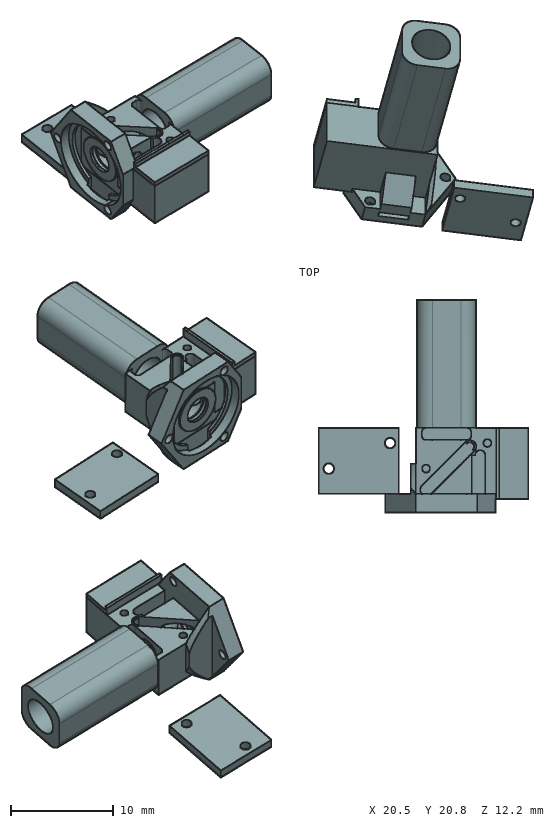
import cadquery as cq
import math


box_reach = 3.0
box_left = -box_reach
box_right = 8.0
box_bottom = -box_reach
box_top = 2.0
box_front = 1.33
box_back = 8.28
tube_width = 5.78
tube_corner_radius = 1.5
tube_end = 20.8
axis_bore_diameter = 2.77
lens_seat_diameter = 3.0
lens_seat_start = 1.41
lens_seat_end = 1.9
side_bore_diameter = 2.4
side_bore_y = 3.33
tube_bore_diameter = 3.8
boss_diameter = 4.8
boss_height = 0.2

slot_floor = -2.0
lens_slot_width = 4.8
lens_slot_length = 1.16
lens_slot_corner_radius = 0.37
mirror_slot_width = 1.23
mirror_slot_span = 6.0
mirror_slot_centre = (0.17, 4.35)
mirror_slot_angle = 45.0
mirror_ledge_depth = 0.1
mirror_relief_diameter = 0.83
filter_slot_left = 2.48
filter_slot_right = 3.79
filter_slot_back = 5.62
filter_relief_diameter = 1.0

flange_thickness = 1.83
hexagon_apothem = 5.2
hexagon_circumradius = hexagon_apothem / math.cos(math.pi / 6)
flange_right = 4.8
recess_diameter = 8.95
recess_depth = 1.0
seat_diameter = 7.85
channel_width = 3.0
channel_front = 0.8
bolt_circle_radius = 5.0
bolt_hole_diameter = 1.0
bolt_hole_count = 3
first_bolt_angle = 60.0
cone_end = 4.8
cone_end_radius = 3.6
cone_left = -3.5
rib_width = channel_width
rib_flat_end = 2.58

lid_thickness = 1.0
lid_width = 7.85
lid_drop = 9.0
lid_shift = 9.5
lid_hole_diameter = 1.0
screw_hole_diameter = 0.77
screw_hole_depth = 2.0
screw_positions = [(-2.0, 4.3), (4.0, 6.8)]
pad_left = 4.87
pad_thickness = 0.5
lip_width = 0.3


def block(x_range, y_range, z_range):
    """Axis-aligned block between the given limits."""
    lows, highs = zip(x_range, y_range, z_range)
    size = [high - low for low, high in zip(lows, highs)]
    return cq.Workplane("XY").box(*size, centered=False).translate(lows)


def rod(diameter, y_start, y_end):
    """Cylinder on the optical axis."""
    return cq.Workplane("XZ", origin=(0, y_start, 0)).circle(diameter / 2).extrude(y_start - y_end)


def lens_slot():
    """Round-cornered slot that drops from the box top in front of the tube."""
    return (
        block(
            (-lens_slot_width / 2, lens_slot_width / 2),
            (box_back - lens_slot_length, box_back),
            (slot_floor, box_top),
        )
        .edges("|Z")
        .fillet(lens_slot_corner_radius)
    )


def mirror_slot():
    """Diagonal slot with a shallow round far end and a narrower round relief below it."""
    centre_x, centre_y = mirror_slot_centre
    half_span = mirror_slot_span / 2
    depth = box_top - slot_floor
    near_end = cq.Workplane("XY").center(-half_span, 0).circle(mirror_slot_width / 2).extrude(-depth)
    middle = cq.Workplane("XY").rect(mirror_slot_span, mirror_slot_width).extrude(-depth)
    ledge = cq.Workplane("XY").center(half_span, 0).circle(mirror_slot_width / 2).extrude(-mirror_ledge_depth)
    relief = cq.Workplane("XY").center(half_span, 0).circle(mirror_relief_diameter / 2).extrude(-depth)
    slot = middle.union(near_end).union(ledge).union(relief)
    return slot.rotate((0, 0, 0), (0, 0, 1), mirror_slot_angle).translate((centre_x, centre_y, box_top))


def filter_slot():
    """Straight slot parallel to the axis, with a round relief in its far right corner."""
    slot = block(
        (filter_slot_left, filter_slot_right), (box_front, filter_slot_back), (slot_floor, box_top)
    )
    relief = (
        cq.Workplane("XY", origin=(0, 0, slot_floor))
        .center(filter_slot_right - filter_relief_diameter / 2, filter_slot_back)
        .circle(filter_relief_diameter / 2)
        .extrude(box_top - slot_floor)
    )
    return slot.union(relief)


def make_housing():
    """Optics box with the tube behind it and a round boss on its front."""
    box = block((box_left, box_right), (box_front, box_back), (box_bottom, box_top))
    box = box.cut(lens_slot()).cut(mirror_slot()).cut(filter_slot())
    screw_holes = (
        cq.Workplane("XY", origin=(0, 0, box_top))
        .pushPoints(screw_positions)
        .circle(screw_hole_diameter / 2)
        .extrude(-screw_hole_depth)
    )
    tube = (
        cq.Workplane("XZ", origin=(0, box_back, 0))
        .rect(tube_width, tube_width)
        .extrude(box_back - tube_end)
        .edges("|Y")
        .fillet(tube_corner_radius)
    )
    boss = rod(boss_diameter, box_front - boss_height, box_front)
    axis_bore = rod(axis_bore_diameter, 0, tube_end)
    lens_seat = rod(lens_seat_diameter, lens_seat_start, lens_seat_end)
    tube_bore = rod(tube_bore_diameter, box_back, tube_end)
    side_bore = (
        cq.Workplane("YZ").center(side_bore_y, 0).circle(side_bore_diameter / 2).extrude(filter_slot_right)
    )
    housing = box.cut(screw_holes).union(tube).union(boss)
    return housing.cut(axis_bore).cut(lens_seat).cut(tube_bore).cut(side_bore)


def hexagon_prism(length):
    """Hexagon with corners on the X axis, extruded back from Y = 0."""
    return cq.Workplane("XZ").polygon(6, 2 * hexagon_circumradius).extrude(-length)


def cone_shoulder():
    """Conical left shoulder behind the hexagon, flattened on its outer side."""
    cone = (
        cq.Workplane("XY")
        .moveTo(0, flange_thickness)
        .lineTo(hexagon_circumradius, flange_thickness)
        .lineTo(cone_end_radius, cone_end)
        .lineTo(0, cone_end)
        .close()
        .revolve(360, (0, 0, 0), (0, 1, 0))
    )
    side = block(
        (cone_left, box_left), (flange_thickness, cone_end), (-hexagon_apothem, hexagon_apothem)
    )
    return cone.intersect(side).intersect(hexagon_prism(cone_end))


def support_rib():
    """45 degree rib between the back of the flange and the underside of the box."""
    rib_rise = hexagon_apothem + box_bottom
    return (
        cq.Workplane("YZ", origin=(-rib_width / 2, 0, 0))
        .moveTo(flange_thickness, box_bottom)
        .lineTo(rib_flat_end + rib_rise, box_bottom)
        .lineTo(rib_flat_end, -hexagon_apothem)
        .lineTo(flange_thickness, -hexagon_apothem)
        .close()
        .extrude(rib_width)
    )


def make_flange(housing):
    """Hexagonal flange around the front of the housing, with a stepped recess and a channel down out of it."""
    hexagon = hexagon_prism(flange_thickness).intersect(
        block(
            (-hexagon_circumradius, flange_right),
            (0, flange_thickness),
            (-hexagon_apothem, hexagon_apothem),
        )
    )
    recess = rod(recess_diameter, 0, recess_depth)
    seat = rod(seat_diameter, recess_depth, box_front)
    channel = block(
        (-channel_width / 2, channel_width / 2), (channel_front, box_front), (-hexagon_apothem, box_bottom)
    )
    bolt_holes = (
        cq.Workplane("XZ")
        .polarArray(bolt_circle_radius, first_bolt_angle, 360, bolt_hole_count)
        .circle(bolt_hole_diameter / 2)
        .extrude(-flange_thickness)
    )
    flange = hexagon.union(cone_shoulder()).union(support_rib())
    flange = flange.cut(recess).cut(seat).cut(channel).cut(bolt_holes)
    return flange.cut(rod(axis_bore_diameter, 0, flange_thickness)).cut(housing)


def make_pad():
    """Pad on the right end of the box, with a lip that stops the lid."""
    depth = (box_front, box_back)
    plate = block((pad_left, box_right), depth, (box_top, box_top + pad_thickness))
    lip = block((pad_left, pad_left + lip_width), depth, (box_top, box_top + lid_thickness))
    return plate.union(lip)


def make_lid():
    """Lid of the box, lying loose to the left of and below the box."""
    left = box_left - lid_shift
    bottom = box_top - lid_drop
    lid = block((left, left + lid_width), (flange_thickness, box_back), (bottom, bottom + lid_thickness))
    holes = (
        cq.Workplane("XY", origin=(-lid_shift, 0, bottom))
        .pushPoints(screw_positions)
        .circle(lid_hole_diameter / 2)
        .extrude(lid_thickness)
    )
    return lid.cut(holes)


housing = make_housing()
flange = make_flange(housing)
pad = make_pad()
lid = make_lid()

bodies = [housing, flange, pad, lid]
result = cq.Compound.makeCompound([body.solids().val() for body in bodies])